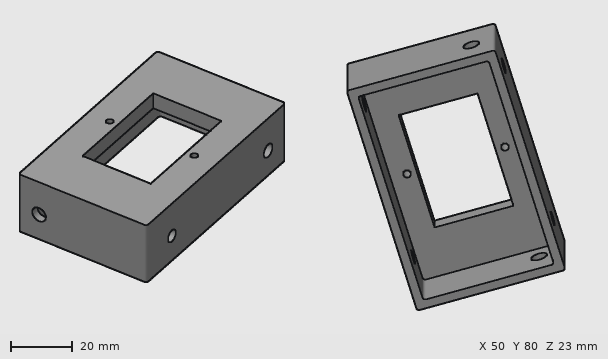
import cadquery as cq

width = 50.0
length = 80.0
height = 23.0
corner_radius = 1.0

cavity_width = 44.0
wall = (width - cavity_width) / 2
cavity_length = length - 2 * wall
plate_thickness = 6.0
cavity_height = height - plate_thickness

window_width = 26.6
window_length = 40.8
screw_spacing = 33.0
screw_diameter = 2.5

cable_hole_height = 10.0
end_hole_diameter = 5.3
end_hole_x = 8.0 - width / 2
rear_hole_diameter = 5.0
rear_hole_y = length / 2 - 10.0
front_hole_diameter = 4.5
front_hole_y = 14.5 - length / 2


def rounded_block(size_x, size_y, size_z):
    """Block on Z = 0 with rounded vertical edges."""
    block = cq.Workplane("XY").box(size_x, size_y, size_z, centered=(True, True, False))
    return block.edges("|Z").fillet(corner_radius)


def hole_along_x(y, diameter):
    """Cylinder crossing the full width at the cable hole height."""
    section = cq.Workplane("YZ").center(y, cable_hole_height).circle(diameter / 2)
    return section.extrude(width / 2, both=True)


def hole_along_y(x, diameter):
    """Cylinder crossing the full length at the cable hole height."""
    section = cq.Workplane("XZ").center(x, cable_hole_height).circle(diameter / 2)
    return section.extrude(length / 2, both=True)


shell = rounded_block(width, length, height).cut(rounded_block(cavity_width, cavity_length, cavity_height))

window = cq.Workplane("XY").rect(window_width, window_length).extrude(height)
screw_holes = (
    cq.Workplane("XY")
    .pushPoints([(-screw_spacing / 2, 0), (screw_spacing / 2, 0)])
    .circle(screw_diameter / 2)
    .extrude(height)
)

result = (
    shell.cut(window)
    .cut(screw_holes)
    .cut(hole_along_y(end_hole_x, end_hole_diameter))
    .cut(hole_along_x(rear_hole_y, rear_hole_diameter))
    .cut(hole_along_x(front_hole_y, front_hole_diameter))
)